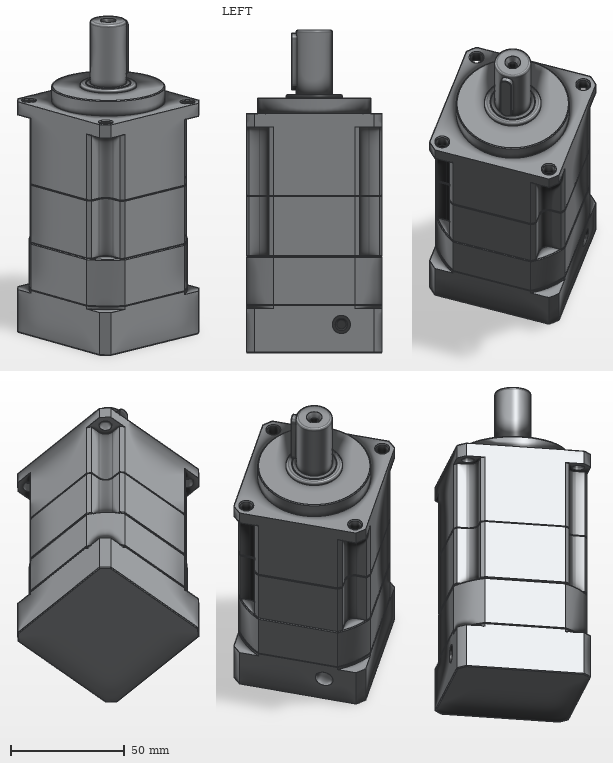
import cadquery as cq
import math

body_width = 60.0
half_width = body_width / 2
body_corner_diameter = 70.0
flange_corner_diameter = 80.0

corner_seat_height = 19.7
base_joint = 21.0
lower_joint = 42.6
upper_joint = 69.5
flange_bottom = 99.6
flange_top = 105.6
pilot_top = 112.6
collar_top = 114.0
total_height = 142.5

bottom_chamfer = 0.4
joint_chamfer = 0.4

recess_wall = 20.0
recess_fillet = 4.3

pilot_diameter = 50.0
pilot_chamfer = 0.4
collar_radius = 12.5
collar_fillet = 1.1

mount_hole_pitch = 49.5
mount_hole_diameter = 5.5
mount_hole_chamfer = 0.5

access_y = -12.0
access_z = 12.5
access_radius = 4.0
access_depth = 11.4
access_seat_radius = 2.7
access_bore_radius = 2.0
access_bore_depth = 4.3
access_cone_depth = access_seat_radius - access_bore_radius

shaft_radius = 8.0
shaft_fillet = 1.0
shoulder_radius = 10.0
shoulder_chamfer = 0.3
shoulder_bottom = flange_top
centre_hole_mouth_radius = 3.4
centre_hole_radius = 2.0
centre_hole_depth = 12.8
mouth_cone_angle = 60
drill_tip_angle = 118
mouth_cone_width = centre_hole_mouth_radius - centre_hole_radius
mouth_cone_depth = mouth_cone_width / math.tan(math.radians(mouth_cone_angle / 2))
drill_tip_depth = centre_hole_radius / math.tan(math.radians(drill_tip_angle / 2))

key_size = 5.0
key_length = 25.1
key_outer_y = 10.1
key_centre_z = 128.5
key_chamfer = 0.3


def square_block(bottom, top):
    """Block of the full body width between two heights."""
    return (
        cq.Workplane("XY", origin=(0, 0, bottom))
        .rect(body_width, body_width)
        .extrude(top - bottom)
    )


def round_cornered_block(bottom, top, diameter):
    """Square block whose corners are trimmed by a cylinder about Z."""
    round_limit = cq.Workplane("XY", origin=(0, 0, bottom)).circle(diameter / 2).extrude(top - bottom)
    return square_block(bottom, top).intersect(round_limit)


def recessed_block(bottom, top):
    """Round-cornered block with a filleted square notch along each corner."""
    block = round_cornered_block(bottom, top, body_corner_diameter)
    notch_size = body_width - 2 * recess_wall
    notch = (
        cq.Workplane("XY", origin=(0, 0, bottom))
        .rect(body_width, body_width, forConstruction=True)
        .vertices()
        .rect(notch_size, notch_size)
        .extrude(top - bottom)
        .edges("|Z")
        .fillet(recess_fillet)
    )
    return block.cut(notch)


def revolved(profile_points):
    """Solid of revolution about Z from (radius, height) points."""
    return cq.Workplane("XZ").polyline(profile_points).close().revolve(360, (0, 0, 0), (0, 1, 0))


def make_base():
    """Square foot with a round-cornered lip that carries the body."""
    foot = round_cornered_block(0, corner_seat_height, flange_corner_diameter)
    foot = foot.faces("<Z").chamfer(bottom_chamfer)
    lip = round_cornered_block(corner_seat_height, base_joint, body_corner_diameter)
    return foot.union(lip)


def make_body():
    """Three stacked sections, with chamfered edges marking the joints."""
    ends = "<Z or >Z"
    lower = round_cornered_block(base_joint, lower_joint, body_corner_diameter)
    lower = lower.faces(ends).chamfer(joint_chamfer)
    middle = recessed_block(lower_joint, upper_joint).faces(ends).chamfer(joint_chamfer)
    upper = recessed_block(upper_joint, flange_bottom)
    return lower.union(middle).union(upper)


def make_flange():
    """Mounting plate with its centring pilot and the collar around the shaft."""
    plate = round_cornered_block(flange_bottom, flange_top, flange_corner_diameter)
    pilot = (
        cq.Workplane("XY", origin=(0, 0, flange_top))
        .circle(pilot_diameter / 2)
        .extrude(pilot_top - flange_top)
        .faces(">Z")
        .chamfer(pilot_chamfer)
    )
    collar = (
        cq.Workplane("XY", origin=(0, 0, pilot_top))
        .circle(collar_radius)
        .extrude(collar_top - pilot_top)
        .faces(">Z")
        .edges()
        .fillet(collar_fillet)
    )
    return plate.union(pilot).union(collar)


def mount_holes():
    """Four chamfered through holes of the flange."""
    radius = mount_hole_diameter / 2
    mouth = radius + mount_hole_chamfer
    hole = revolved([
        (0, flange_bottom),
        (radius, flange_bottom),
        (radius, flange_top - mount_hole_chamfer),
        (mouth, flange_top),
        (0, flange_top),
    ]).val()
    positions = cq.Workplane("XY").rect(mount_hole_pitch, mount_hole_pitch, forConstruction=True).vertices()
    return positions.eachpoint(lambda place: hole.moved(place))


def access_hole():
    """Stepped hole entering the base from its -X side."""
    cone_end = access_depth + access_cone_depth
    bore_end = cone_end + access_bore_depth
    return (
        cq.Workplane("XY", origin=(-half_width, access_y, access_z))
        .polyline([
            (0, 0),
            (0, access_radius),
            (access_depth, access_radius),
            (access_depth, access_seat_radius),
            (cone_end, access_bore_radius),
            (bore_end, access_bore_radius),
            (bore_end, 0),
        ])
        .close()
        .revolve(360, (0, 0, 0), (1, 0, 0))
    )


def shaft_seat():
    """Bore in the pilot and collar that holds the shaft shoulder."""
    return (
        cq.Workplane("XY", origin=(0, 0, shoulder_bottom))
        .circle(shoulder_radius)
        .extrude(collar_top - shoulder_bottom)
    )


def make_housing():
    housing = make_base().union(make_body()).union(make_flange())
    return housing.cut(mount_holes()).cut(access_hole()).cut(shaft_seat())


def key_blank():
    """Round-ended key without edge chamfers, also the shape of its keyway."""
    vertical = 90
    return (
        cq.Workplane("XZ", origin=(0, key_outer_y, key_centre_z))
        .slot2D(key_length, key_size, vertical)
        .extrude(key_size)
    )


def make_key():
    return key_blank().faces(">Y").chamfer(key_chamfer)


def centre_hole():
    """Drilled hole with a conical mouth in the end of the shaft."""
    drill_end = total_height - centre_hole_depth
    return revolved([
        (0, total_height),
        (centre_hole_mouth_radius, total_height),
        (centre_hole_radius, total_height - mouth_cone_depth),
        (centre_hole_radius, drill_end),
        (0, drill_end - drill_tip_depth),
    ])


def make_shaft():
    """Keyed output shaft on a wider shoulder that fills its seat in the housing."""
    shoulder = shaft_seat().faces(">Z").chamfer(shoulder_chamfer)
    journal = (
        cq.Workplane("XY", origin=(0, 0, collar_top))
        .circle(shaft_radius)
        .extrude(total_height - collar_top)
        .faces(">Z")
        .edges()
        .fillet(shaft_fillet)
    )
    return shoulder.union(journal).cut(centre_hole()).cut(key_blank())


housing = make_housing()
shaft = make_shaft()
key = make_key()

bodies = [housing, shaft, key]
result = cq.Compound.makeCompound([body.solids().val() for body in bodies])